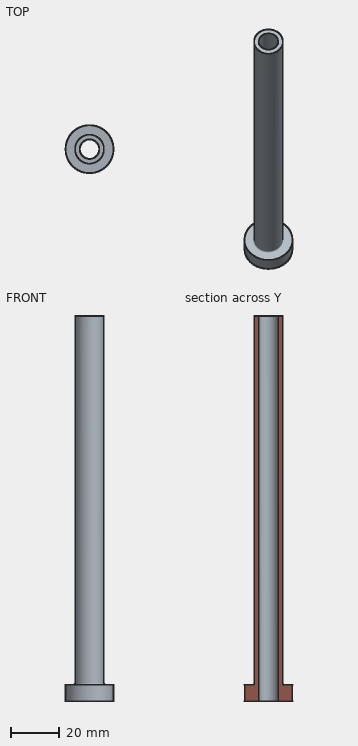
import cadquery as cq

total_length = 160.0
head_diameter = 20.0
head_height = 7.0
shank_diameter = 12.0
bore_diameter = 8.0
neck_fillet_radius = 0.5

head_radius = head_diameter / 2
shank_radius = shank_diameter / 2
bore_radius = bore_diameter / 2


def make_sleeve():
    """Headed sleeve with a through bore, revolved about Z from its section on the -X side."""
    section = (
        cq.Workplane("XZ")
        .moveTo(-bore_radius, 0)
        .lineTo(-head_radius, 0)
        .lineTo(-head_radius, head_height)
        .lineTo(-shank_radius - neck_fillet_radius, head_height)
        .radiusArc((-shank_radius, head_height + neck_fillet_radius), -neck_fillet_radius)
        .lineTo(-shank_radius, total_length)
        .lineTo(-bore_radius, total_length)
        .close()
    )
    return section.revolve(360, (0, 0, 0), (0, 1, 0))


result = make_sleeve()